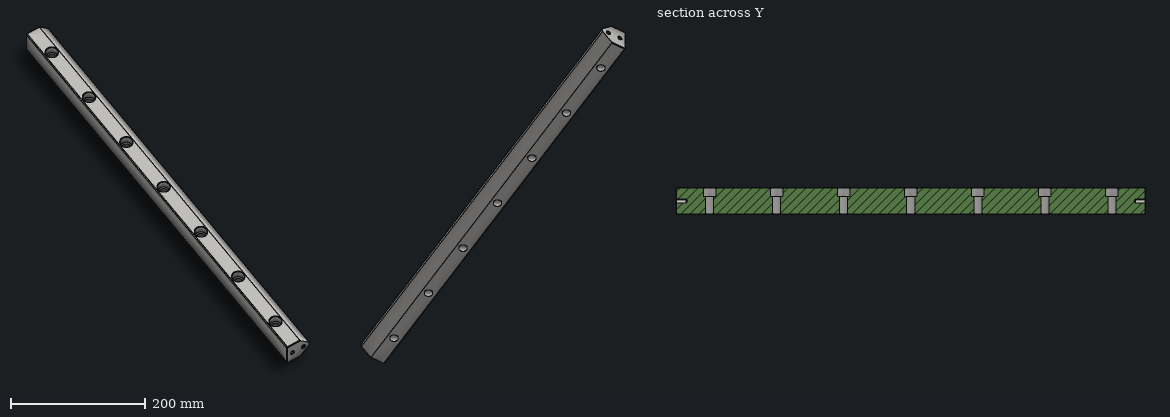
import cadquery as cq
import math

length = 700.0
width = 40.0
height = 40.0

nose_flat = 7.2
flank_run = (height - nose_flat) / 2
shoulder_y = width - flank_run

back_chamfer = 1.5
end_chamfer = 1.0

hole_count = 7
hole_pitch = 100.0
first_hole_x = (length - (hole_count - 1) * hole_pitch) / 2
hole_y = 13.0
hole_diameter = 12.5
counterbore_diameter = 18.5
counterbore_depth = 13.0
counterbore_chamfer = 0.75

end_hole_diameter = 5.25
end_hole_depth = 15.0
end_hole_chamfer = 0.9
drill_point_angle = 118.0
end_hole_ys = (10.0, 30.0)


def rail_body():
    """Constant section with a V nose, extruded along X and chamfered on its back edges."""
    half_height = height / 2
    half_flat = nose_flat / 2
    section = [
        (0, -half_height),
        (shoulder_y, -half_height),
        (width, -half_flat),
        (width, half_flat),
        (shoulder_y, half_height),
        (0, half_height),
    ]
    body = cq.Workplane("YZ").polyline(section).close().extrude(length)
    return body.faces("<Y").edges("|X").chamfer(back_chamfer)


def chamfer_ends(body):
    """Chamfer the end edges of the top, back and bottom, leaving those of the nose sharp."""
    behind_nose = cq.selectors.BoxSelector((-length, -width, -height), (2 * length, shoulder_y, height))
    return body.faces("<X or >X").edges(behind_nose).chamfer(end_chamfer)


def bore_tool(diameter, depth, mouth_chamfer, tip_length=0):
    """Round cutter along -Z from the origin, with a 45 degree mouth chamfer and a conical tip."""
    radius = diameter / 2
    profile = [
        (0, 0),
        (radius + mouth_chamfer, 0),
        (radius, -mouth_chamfer),
        (radius, -depth),
        (0, -depth - tip_length),
    ]
    return cq.Workplane("XZ").polyline(profile).close().revolve(360, (0, 0), (0, 1))


def cut_mounting_holes(body):
    """Through holes along the rail, counterbored from the top."""
    bore = cq.Workplane("XY").circle(hole_diameter / 2).extrude(-height)
    tool = bore_tool(counterbore_diameter, counterbore_depth, counterbore_chamfer).union(bore)
    for i in range(hole_count):
        body = body.cut(tool.translate((first_hole_x + i * hole_pitch, hole_y, height / 2)))
    return body


def cut_end_holes(body):
    """Pairs of blind, drill-pointed holes cut along X into both end faces."""
    tip_length = end_hole_diameter / 2 / math.tan(math.radians(drill_point_angle / 2))
    tool = bore_tool(end_hole_diameter, end_hole_depth, end_hole_chamfer, tip_length)
    for face_x, turn in ((0, -90), (length, 90)):
        end_tool = tool.rotate((0, 0, 0), (0, 1, 0), turn)
        for y in end_hole_ys:
            body = body.cut(end_tool.translate((face_x, y, 0)))
    return body


result = cut_end_holes(cut_mounting_holes(chamfer_ends(rail_body())))